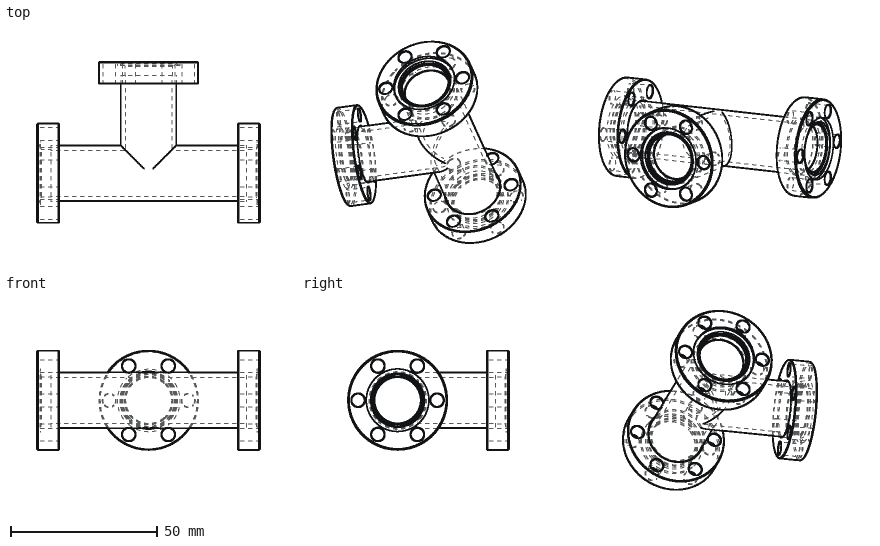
import cadquery as cq

run_length = 76.2
port_reach = run_length / 2

tube_outer_diameter = 19.05
tube_inner_diameter = 15.75
tube_outer_radius = tube_outer_diameter / 2
tube_inner_radius = tube_inner_diameter / 2

flange_diameter = 34.0
flange_radius = flange_diameter / 2
flange_thickness = 7.6
front_chamfer = 0.4
back_chamfer = 0.25

bolt_count = 6
bolt_circle_diameter = 27.0
bolt_hole_diameter = 4.4
bolt_hole_chamfer = 0.2

recess_radius = 21.4 / 2
recess_depth = 1.2
knife_radius = 18.4 / 2
knife_tip_depth = 0.65
inner_step_radius = 17.7 / 2
inner_step_depth = 1.3
bore_radius = 16.2 / 2
bore_mouth_chamfer = 0.2

tube_end_depth = 4.7
socket_chamfer = 0.35


def make_flange():
    """Flange revolved about Z, with its sealing face up at Z = 0."""
    profile = [
        (recess_radius, 0),
        (flange_radius - front_chamfer, 0),
        (flange_radius, -front_chamfer),
        (flange_radius, back_chamfer - flange_thickness),
        (flange_radius - back_chamfer, -flange_thickness),
        (tube_outer_radius + socket_chamfer, -flange_thickness),
        (tube_outer_radius, socket_chamfer - flange_thickness),
        (tube_outer_radius, -tube_end_depth),
        (bore_radius, -tube_end_depth),
        (bore_radius, -inner_step_depth - bore_mouth_chamfer),
        (bore_radius + bore_mouth_chamfer, -inner_step_depth),
        (inner_step_radius, -inner_step_depth),
        (knife_radius, -knife_tip_depth),
        (recess_radius, -recess_depth),
    ]
    body = cq.Workplane("XZ").polyline(profile).close().revolve(360, (0, 0), (0, 1))
    return body.cut(make_bolt_holes())


def make_bolt_holes():
    """Bolt holes through the flange, lightly chamfered at both ends."""
    radius = bolt_hole_diameter / 2
    mouth_radius = radius + bolt_hole_chamfer
    profile = [
        (0, 0),
        (mouth_radius, 0),
        (radius, -bolt_hole_chamfer),
        (radius, bolt_hole_chamfer - flange_thickness),
        (mouth_radius, -flange_thickness),
        (0, -flange_thickness),
    ]
    hole = cq.Workplane("XZ").polyline(profile).close().revolve(360, (0, 0), (0, 1)).val()
    return (
        cq.Workplane("XY")
        .polarArray(bolt_circle_diameter / 2, 90, 360, bolt_count)
        .eachpoint(lambda place: hole.moved(place), combine=False)
        .combine()
    )


def make_tee_rods(radius):
    """Solid tee of the given radius, ending at the tube seats in the flanges."""
    arm_length = port_reach - tube_end_depth
    run = cq.Workplane("YZ").circle(radius).extrude(arm_length, both=True)
    branch = cq.Workplane("XZ").circle(radius).extrude(-arm_length)
    return run.union(branch)


tee_tube = make_tee_rods(tube_outer_radius).cut(make_tee_rods(tube_inner_radius))

port_angles = [0, 90, 180]
flanges = []
for port_angle in port_angles:
    flange = (
        make_flange()
        .rotate((0, 0, 0), (0, 1, 0), 90)
        .translate((port_reach, 0, 0))
        .rotate((0, 0, 0), (0, 0, 1), port_angle)
    )
    flanges.append(flange.val())

result = cq.Compound.makeCompound([tee_tube.val(), *flanges])